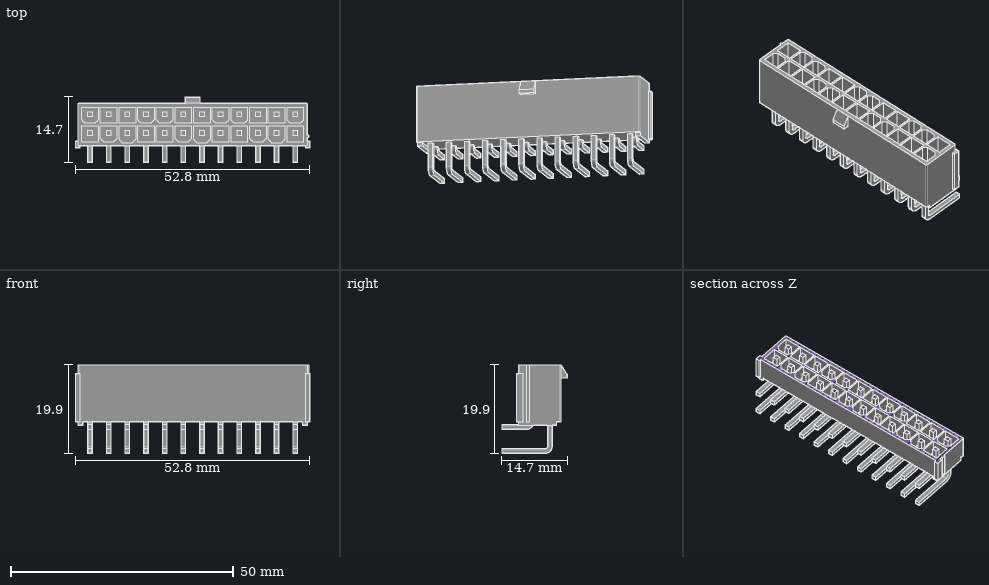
import cadquery as cq


total_length = 52.8
total_depth = 14.7
total_height = 19.93

housing_height = 12.8
housing_depth = 9.6
end_rib_side_overhang = 0.55
housing_length = total_length - 2 * end_rib_side_overhang
corner_radius = 0.3

pin_columns = 12
pitch = 4.2
pin_size = 1.07
rear_row_y = pitch / 2
front_row_y = -pitch / 2
column_positions = [(i - (pin_columns - 1) / 2) * pitch for i in range(pin_columns)]

rear_wall_to_rear_row = 2.5
rear_y = rear_row_y + rear_wall_to_rear_row
front_y = rear_y - housing_depth

latch_width = 3.4
latch_projection = 1.4
latch_height = 3.0
latch_tip_height = 0.8

tail_end_y = rear_y + latch_projection - total_depth
rear_tail_bottom_z = housing_height - total_height
tail_row_spacing = 5.4
front_tail_bottom_z = rear_tail_bottom_z + tail_row_spacing
bend_inner_radius = 0.53
bend_outer_radius = bend_inner_radius + pin_size
pin_tip_recess = 4.0

cavity_width = 3.8
cavity_rear_reach = 1.55
cavity_front_reach = 2.0
deep_key_extra_reach = 0.2
cavity_depth = 10.8
key_chamfer = 0.8

end_rib_width = 1.0
end_rib_depth = 1.5
end_rib_front_overhang = 0.45
end_rib_height = 10.85

standoff_width = 1.15
standoff_height = 0.8
standoff_rear_setback = 1.0

side_rib_radius = 0.35
side_rib_front_setback = 2.2
side_rib_center_y = front_y + side_rib_front_setback


def box(x_min, x_max, y_min, y_max, z_min, z_max):
    size = (x_max - x_min, y_max - y_min, z_max - z_min)
    return cq.Workplane("XY").box(*size, centered=False).translate((x_min, y_min, z_min))


def make_housing():
    half_length = housing_length / 2
    block = box(-half_length, half_length, front_y, rear_y, 0, housing_height)
    return block.edges("|Z").fillet(corner_radius)


def is_keyed(column, in_rear_row):
    """Keyed cavities follow a repeating four-column pattern, opposite in the two rows."""
    outer_pair = column % 4 in (0, 3)
    return outer_pair == in_rear_row


def front_row_reach(column):
    """Reach toward -Y of a front-row cavity; every fourth one, a keyed one, is slightly deeper."""
    if column % 4 == 2:
        return cavity_front_reach + deep_key_extra_reach
    return cavity_front_reach


def make_cavity(x, row_y, front_reach, keyed):
    """Rectangular pocket; a keyed one has its two front corners cut off."""
    cavity = box(
        x - cavity_width / 2,
        x + cavity_width / 2,
        row_y - front_reach,
        row_y + cavity_rear_reach,
        housing_height - cavity_depth,
        housing_height,
    )
    if keyed:
        cavity = cavity.faces("<Y").edges("|Z").chamfer(key_chamfer)
    return cavity


def make_pin(x, row_y, tail_bottom_z):
    """Square pin bent by a right angle, with concentric inner and outer bends."""
    leg_rear_y = row_y + pin_size / 2
    leg = box(
        x - pin_size / 2, x + pin_size / 2,
        leg_rear_y - pin_size, leg_rear_y,
        tail_bottom_z, housing_height - pin_tip_recess,
    )
    tail = box(
        x - pin_size / 2, x + pin_size / 2,
        tail_end_y, leg_rear_y,
        tail_bottom_z, tail_bottom_z + pin_size,
    )
    pin = leg.union(tail)
    outer_corner = cq.selectors.NearestToPointSelector((x, leg_rear_y, tail_bottom_z))
    pin = pin.edges(outer_corner).fillet(bend_outer_radius)
    inner_point = (x, leg_rear_y - pin_size, tail_bottom_z + pin_size)
    inner_corner = cq.selectors.NearestToPointSelector(inner_point)
    return pin.edges("|X").edges(inner_corner).fillet(bend_inner_radius)


def make_latch():
    tip_y = rear_y + latch_projection
    latch_bottom_z = housing_height - latch_height
    profile = [
        (rear_y, housing_height),
        (tip_y, latch_bottom_z + latch_tip_height),
        (tip_y, latch_bottom_z),
        (rear_y, latch_bottom_z),
    ]
    plane = cq.Workplane("YZ", origin=(-latch_width / 2, 0, 0))
    return plane.polyline(profile).close().extrude(latch_width)


def make_end_rib():
    outer_x = -total_length / 2
    outer_y = front_y - end_rib_front_overhang
    return box(outer_x, outer_x + end_rib_width, outer_y, outer_y + end_rib_depth, 0, end_rib_height)


def make_standoff():
    outer_x = -housing_length / 2
    return box(
        outer_x, outer_x + standoff_width,
        front_y, rear_y - standoff_rear_setback,
        -standoff_height, 0,
    )


def make_side_rib():
    """Full-height cylinder centred on the +X end face, so half of it stands proud."""
    plane = cq.Workplane("XY", origin=(housing_length / 2, side_rib_center_y, 0))
    return plane.circle(side_rib_radius).extrude(housing_height)


result = make_housing()
for end_feature in (make_end_rib(), make_standoff()):
    result = result.union(end_feature).union(end_feature.mirror("YZ"))
result = result.union(make_latch()).union(make_side_rib())

for column, x in enumerate(column_positions):
    result = result.cut(make_cavity(x, rear_row_y, cavity_front_reach, is_keyed(column, True)))
    result = result.cut(make_cavity(x, front_row_y, front_row_reach(column), is_keyed(column, False)))

for x in column_positions:
    result = result.union(make_pin(x, rear_row_y, rear_tail_bottom_z))
    result = result.union(make_pin(x, front_row_y, front_tail_bottom_z))